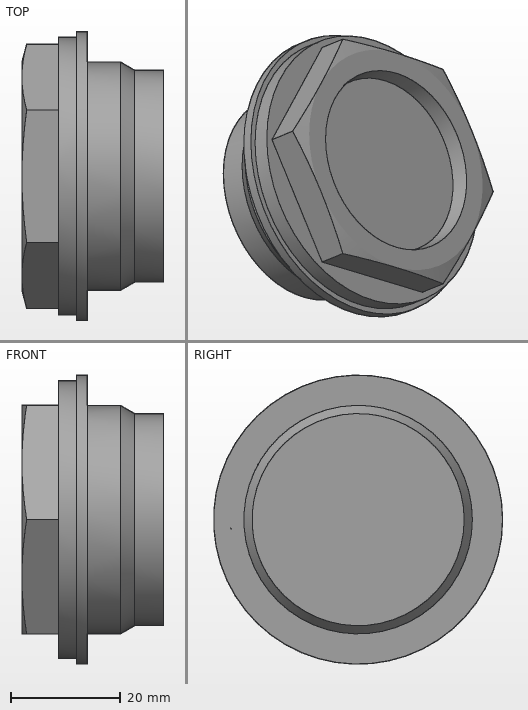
import cadquery as cq
import math


hex_across_flats = 42.0
hex_across_corners = hex_across_flats / math.cos(math.radians(30))
head_face_diameter = 41.91
head_chamfer_angle = 15.0
head_length = 6.7

flange_diameter = 51.0
flange_length = 3.3
ring_diameter = 53.04
ring_length = 2.0

neck_diameter = 41.91
neck_length = 6.1
taper_length = 2.6
tip_diameter = 38.9
overall_length = 26.0

recess_mouth_diameter = 34.1
recess_floor_diameter = 33.0
recess_depth = 3.2

flange_end = head_length + flange_length
ring_end = flange_end + ring_length
neck_end = ring_end + neck_length
taper_end = neck_end + taper_length


def revolve_about_x(profile):
    """Turn a closed outline of (x, radius) points about the X axis."""
    return cq.Workplane("XY").polyline(profile).close().revolve(360, (0, 0, 0), (1, 0, 0))


def make_head():
    """Hexagon with flats facing +Z and -Z, its outer corners cut by a cone."""
    prism = cq.Workplane("YZ").polygon(6, hex_across_corners).extrude(head_length)
    face_radius = head_face_diameter / 2
    slope = math.tan(math.radians(head_chamfer_angle))
    cone_end_radius = face_radius + head_length / slope
    cone = revolve_about_x([
        (0, 0),
        (0, face_radius),
        (head_length, cone_end_radius),
        (head_length, 0),
    ])
    return prism.intersect(cone)


def make_turned_body():
    """Flange, ring and stepped shank as one turned profile."""
    return revolve_about_x([
        (head_length, 0),
        (head_length, flange_diameter / 2),
        (flange_end, flange_diameter / 2),
        (flange_end, ring_diameter / 2),
        (ring_end, ring_diameter / 2),
        (ring_end, neck_diameter / 2),
        (neck_end, neck_diameter / 2),
        (taper_end, tip_diameter / 2),
        (overall_length, tip_diameter / 2),
        (overall_length, 0),
    ])


def make_recess():
    """Tapered recess, widest at the head face."""
    return revolve_about_x([
        (0, 0),
        (0, recess_mouth_diameter / 2),
        (recess_depth, recess_floor_diameter / 2),
        (recess_depth, 0),
    ])


result = make_head().union(make_turned_body()).cut(make_recess())